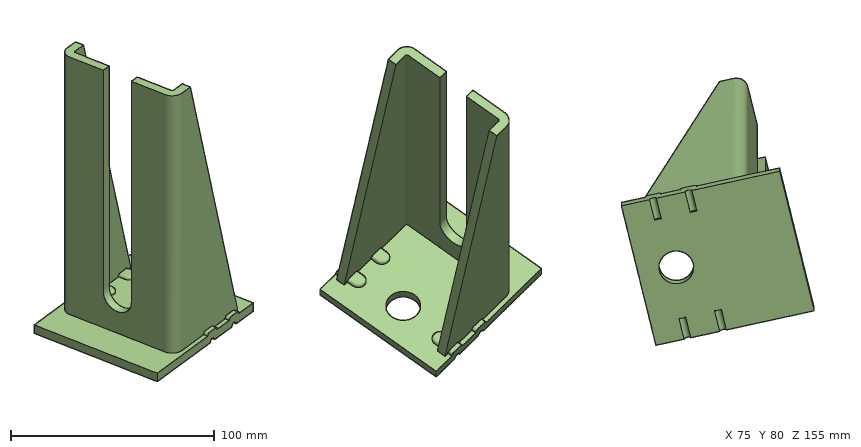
import cadquery as cq

total_height = 155.0
plate_width = 75.0
plate_depth = 80.0
plate_thickness = 5.0
bolt_diameter = 17.0
bolt_hole_y = 21.0

bead_width = 8.0
bead_height = 1.5
bead_edge_radius = 1.47
bead_straight_length = 11.0
bead_positions_y = (24.0, 6.0)
groove_radius = 1.7

bracket_width = 70.0
sheet_thickness = 5.0
outer_bend_radius = 5.9
inner_bend_radius = outer_bend_radius - sheet_thickness
web_front_y = -22.0
flange_bottom_y = 30.4
flange_top_y = -9.0
slot_center_height = 21.1

bracket_height = total_height - plate_thickness
half_plate_width = plate_width / 2


def make_bead(side, y):
    """Raised bead with a round inner end and rounded upper edges; side is -1 or 1."""
    edge_x = side * half_plate_width
    end_x = edge_x - side * bead_straight_length
    bar = (
        cq.Workplane("XY", origin=((edge_x + end_x) / 2, y, plate_thickness))
        .rect(bead_straight_length, bead_width)
        .extrude(bead_height)
    )
    round_end = (
        cq.Workplane("XY", origin=(end_x, y, plate_thickness))
        .circle(bead_width / 2)
        .extrude(bead_height)
    )
    blank = bar.union(round_end)
    plate_edge = "<X" if side < 0 else ">X"
    return blank.faces(">Z").edges(f"not {plate_edge}").fillet(bead_edge_radius)


def make_groove(side, y):
    """Half-round groove under a bead, with a flat inner end."""
    edge_x = side * half_plate_width
    end_x = edge_x - side * bead_straight_length
    return (
        cq.Workplane("YZ", origin=(end_x, y, 0))
        .circle(groove_radius)
        .extrude(side * bead_straight_length)
    )


def make_plate(beads):
    plate = cq.Workplane("XY").box(plate_width, plate_depth, plate_thickness, centered=(True, True, False))
    bolt_hole = (
        cq.Workplane("XY", origin=(0, bolt_hole_y, 0))
        .circle(bolt_diameter / 2)
        .extrude(plate_thickness)
    )
    plate = plate.cut(bolt_hole)
    for bead in beads:
        plate = plate.union(bead)
    for side in (-1, 1):
        for y in bead_positions_y:
            plate = plate.cut(make_groove(side, y))
    return plate


def make_channel():
    """Upright U-shaped channel with bent corners, open towards +Y."""
    depth = flange_bottom_y - web_front_y
    outer = (
        cq.Workplane("XY", origin=(0, web_front_y + depth / 2, plate_thickness))
        .rect(bracket_width, depth)
        .extrude(bracket_height)
        .edges("|Z and <Y")
        .fillet(outer_bend_radius)
    )
    inner = (
        cq.Workplane("XY", origin=(0, web_front_y + sheet_thickness + depth / 2, plate_thickness))
        .rect(bracket_width - 2 * sheet_thickness, depth)
        .extrude(bracket_height)
        .edges("|Z and <Y")
        .fillet(inner_bend_radius)
    )
    return outer.cut(inner)


def make_flange_outline():
    """Side outline that slopes the free edges of both flanges."""
    return (
        cq.Workplane("YZ")
        .moveTo(web_front_y, plate_thickness)
        .lineTo(flange_bottom_y, plate_thickness)
        .lineTo(flange_top_y, total_height)
        .lineTo(web_front_y, total_height)
        .close()
        .extrude(bracket_width / 2, both=True)
    )


def make_web_slot():
    """Slot through the web, open at the top and round at the bottom."""
    radius = bolt_diameter / 2
    center_z = plate_thickness + slot_center_height
    return (
        cq.Workplane("XZ", origin=(0, web_front_y, 0))
        .moveTo(-radius, total_height)
        .lineTo(-radius, center_z)
        .threePointArc((0, center_z - radius), (radius, center_z))
        .lineTo(radius, total_height)
        .close()
        .extrude(-sheet_thickness)
    )


def make_bracket(beads):
    bracket = make_channel().intersect(make_flange_outline()).cut(make_web_slot())
    for bead in beads:
        bracket = bracket.cut(bead)
    return bracket


beads = [make_bead(side, y) for side in (-1, 1) for y in bead_positions_y]
base_plate = make_plate(beads)
bracket = make_bracket(beads)

result = cq.Compound.makeCompound([base_plate.val(), bracket.val()])